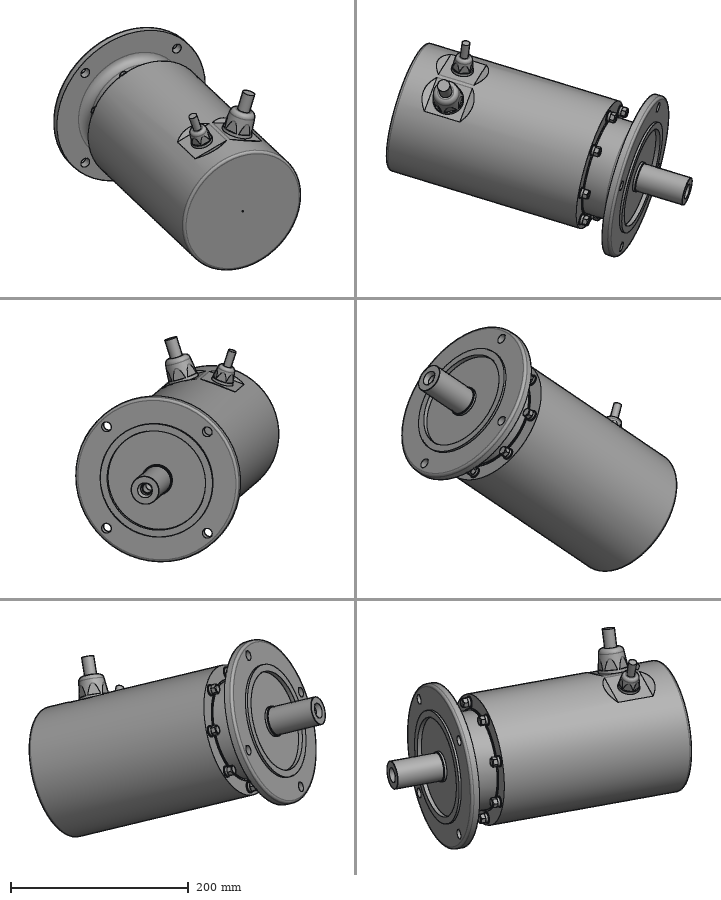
import cadquery as cq
import math


shaft_dia = 32.0
shaft_tip_chamfer = 0.5
shaft_collar_dia = 35.0
shaft_collar_height = 3.5
shaft_collar_chamfer = 0.7
center_hole_mouth_dia = 17.0
center_hole_dia = 13.0
center_hole_mouth_depth = 6.0
center_hole_depth = 12.0
pilot_dia = 10.7
pilot_depth = 26.8
drill_tip_angle = 118.0

spigot_face_x = 54.3
flange_face_x = 57.0
flange_back_x = 67.0
spigot_dia = 130.0
recess_dia = 114.0
recess_depth = 5.0
flange_dia = 189.0
flange_edge_fillet = 3.0
flange_hole_dia = 11.0
flange_hole_circle_dia = 164.8
flange_hole_count = 4
neck_dia = 114.0
neck_fillet = 10.0
neck_foot_dia = 117.2
neck_foot_height = 1.5

housing_front_x = 105.2
housing_back_x = 334.3
housing_dia = 150.0
housing_back_fillet = 3.0
tail_tip_x = 335.0
tail_pip_dia = 1.5

bolt_count = 8
bolt_circle_dia = 132.0
bolt_head_width = 10.0
bolt_head_height = 6.0
bolt_head_chamfer_dia = 8.7
bolt_head_chamfer_angle = 45.0
lock_washer_dia = 11.0
lock_washer_height = 3.0
flat_washer_dia = 13.0
flat_washer_height = 1.0

gland_x = 278.7
gland_tilt = 18.0
flat_distance = 72.0
flat_length = 42.5
flat_end_run = 8.5

gland_facet_count = 6


def disc(x_start, x_end, diameter):
    """Solid cylinder along the motor axis from x_start to x_end."""
    return cq.Workplane("YZ", origin=(x_start, 0, 0)).circle(diameter / 2).extrude(x_end - x_start)


def make_shaft():
    """Shaft with a stepped center hole in its tip and a collar at its root."""
    floor_x = spigot_face_x + recess_depth
    shaft = disc(0, floor_x, shaft_dia).faces("<X").chamfer(shaft_tip_chamfer)
    collar = disc(floor_x - shaft_collar_height, floor_x, shaft_collar_dia).faces("<X").chamfer(shaft_collar_chamfer)
    return shaft.union(collar).cut(make_center_hole())


def make_center_hole():
    """Countersink, wide bore and narrower pilot hole with a conical end."""
    mouth_radius = center_hole_mouth_dia / 2
    bore_radius = center_hole_dia / 2
    pilot_radius = pilot_dia / 2
    tip_depth = pilot_depth + pilot_radius / math.tan(math.radians(drill_tip_angle / 2))
    return (
        cq.Workplane("XY")
        .moveTo(0, 0)
        .lineTo(0, mouth_radius)
        .lineTo(center_hole_mouth_depth, bore_radius)
        .lineTo(center_hole_depth, bore_radius)
        .lineTo(center_hole_depth, pilot_radius)
        .lineTo(pilot_depth, pilot_radius)
        .lineTo(tip_depth, 0)
        .close()
        .revolve(360, (0, 0, 0), (1, 0, 0))
    )


def make_flange():
    """Round flange with a recessed spigot, four through holes and a filleted neck."""
    plate = disc(flange_face_x, flange_back_x, flange_dia).faces("<X").edges().fillet(flange_edge_fillet)
    holes = (
        cq.Workplane("YZ", origin=(flange_face_x, 0, 0))
        .polarArray(flange_hole_circle_dia / 2, 45, 360, flange_hole_count)
        .circle(flange_hole_dia / 2)
        .extrude(flange_back_x - flange_face_x)
    )
    spigot = disc(spigot_face_x, flange_face_x, spigot_dia)
    recess = disc(spigot_face_x, spigot_face_x + recess_depth, recess_dia)
    return plate.cut(holes).union(spigot).cut(recess).union(make_neck())


def make_neck():
    """Neck between flange and housing, flared into the flange and stepped at its foot."""
    neck_radius = neck_dia / 2
    flare_end_x = flange_back_x + neck_fillet
    arc_drop = neck_fillet * (1 - math.sqrt(0.5))
    neck = (
        cq.Workplane("XY")
        .moveTo(flange_back_x, 0)
        .lineTo(flange_back_x, neck_radius + neck_fillet)
        .threePointArc((flange_back_x + arc_drop, neck_radius + arc_drop), (flare_end_x, neck_radius))
        .lineTo(housing_front_x, neck_radius)
        .lineTo(housing_front_x, 0)
        .close()
        .revolve(360, (0, 0, 0), (1, 0, 0))
    )
    return neck.union(disc(housing_front_x - neck_foot_height, housing_front_x, neck_foot_dia))


def make_flat_cutter(tilt):
    """Block that mills one flat, its two end walls sloping up to the housing surface."""
    housing_radius = housing_dia / 2
    end_slope = flat_end_run / (housing_radius - flat_distance)
    cut_height = 2 * (housing_radius - flat_distance)
    half_bottom = flat_length / 2
    half_top = half_bottom + cut_height * end_slope
    return (
        cq.Workplane("XZ")
        .polyline([
            (gland_x - half_bottom, flat_distance),
            (gland_x + half_bottom, flat_distance),
            (gland_x + half_top, flat_distance + cut_height),
            (gland_x - half_top, flat_distance + cut_height),
        ])
        .close()
        .extrude(housing_radius, both=True)
        .rotate((0, 0, 0), (1, 0, 0), tilt)
    )


def make_housing():
    """Cylindrical housing with two gland flats and a small pip on its rear face."""
    housing = disc(housing_front_x, housing_back_x, housing_dia).faces(">X").edges().fillet(housing_back_fillet)
    for tilt in (gland_tilt, -gland_tilt):
        housing = housing.cut(make_flat_cutter(tilt))
    return housing.union(disc(housing_back_x, tail_tip_x, tail_pip_dia))


def make_bolt():
    """Chamfered hexagon head on two washers, on the motor axis in front of the housing."""
    flat_washer_x = housing_front_x - flat_washer_height
    lock_washer_x = flat_washer_x - lock_washer_height
    head_x = lock_washer_x - bolt_head_height
    corner_radius = bolt_head_width / 2 / math.cos(math.radians(30))
    chamfer_radius = bolt_head_chamfer_dia / 2
    chamfer_height = (corner_radius - chamfer_radius) * math.tan(math.radians(bolt_head_chamfer_angle))
    head = (
        cq.Workplane("YZ", origin=(head_x, 0, 0))
        .polygon(6, 2 * corner_radius)
        .extrude(bolt_head_height)
    )
    chamfer_envelope = (
        cq.Workplane("XY")
        .moveTo(head_x, 0)
        .lineTo(head_x, chamfer_radius)
        .lineTo(head_x + chamfer_height, corner_radius)
        .lineTo(lock_washer_x, corner_radius)
        .lineTo(lock_washer_x, 0)
        .close()
        .revolve(360, (0, 0, 0), (1, 0, 0))
    )
    lock_washer = disc(lock_washer_x, flat_washer_x, lock_washer_dia)
    flat_washer = disc(flat_washer_x, housing_front_x, flat_washer_dia)
    return head.intersect(chamfer_envelope).union(lock_washer).union(flat_washer)


def make_motor():
    """Motor body: shaft, flange, housing and the ring of bolts, as one solid."""
    motor = make_housing().union(make_flange()).union(make_shaft())
    bolt = make_bolt().translate((0, 0, bolt_circle_dia / 2))
    bolt_pitch = 360 / bolt_count
    for index in range(bolt_count):
        motor = motor.union(bolt.rotate((0, 0, 0), (1, 0, 0), (index + 0.5) * bolt_pitch))
    return motor


def make_gland(base_dia, cap_dia, rim_dia, facet_width, ledge_height, cap_height, cable_dia, cable_end, tilt):
    """Tapered gland with six wrench facets, a rounded rim and its cable, on a tilted flat.

    cable_end is the distance of the cable's end from the motor axis.
    """
    base_radius = base_dia / 2
    cap_radius = cap_dia / 2
    rim_radius = rim_dia / 2
    rim_fillet = cap_radius - rim_radius
    shoulder_height = cap_height - rim_fillet
    arc_offset = rim_fillet * math.sqrt(0.5)
    cap = (
        cq.Workplane("XZ")
        .lineTo(base_radius, 0)
        .lineTo(cap_radius, shoulder_height)
        .threePointArc((rim_radius + arc_offset, shoulder_height + arc_offset), (rim_radius, cap_height))
        .lineTo(0, cap_height)
        .close()
        .revolve(360, (0, 0, 0), (0, 1, 0))
    )
    facet_cutter = (
        cq.Workplane("XY", origin=(0, 0, ledge_height))
        .circle(base_dia)
        .polygon(gland_facet_count, facet_width / math.cos(math.pi / gland_facet_count))
        .extrude(cap_height)
        .rotate((0, 0, 0), (0, 0, 1), 180 / gland_facet_count)
    )
    cable = cq.Workplane("XY").circle(cable_dia / 2).extrude(cable_end - flat_distance)
    gland = cap.cut(facet_cutter).union(cable)
    return gland.translate((gland_x, 0, flat_distance)).rotate((0, 0, 0), (1, 0, 0), tilt)


motor = make_motor()

power_gland = make_gland(
    base_dia=35.0,
    cap_dia=29.0,
    rim_dia=18.0,
    facet_width=30.5,
    ledge_height=3.7,
    cap_height=27.5,
    cable_dia=14.0,
    cable_end=121.0,
    tilt=-gland_tilt,
)

signal_gland = make_gland(
    base_dia=25.0,
    cap_dia=19.8,
    rim_dia=12.0,
    facet_width=20.5,
    ledge_height=3.0,
    cap_height=19.0,
    cable_dia=9.0,
    cable_end=110.0,
    tilt=gland_tilt,
)

result = cq.Compound.makeCompound([motor.val(), power_gland.val(), signal_gland.val()])